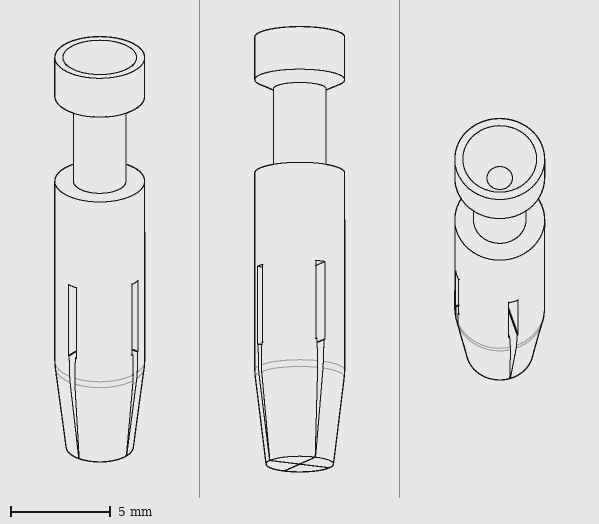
import cadquery as cq
import math

total_height = 22.0
body_radius = 4.5 / 2
tip_radius = 1.7
neck_radius = 1.32

head_height = 2.2
head_chamfer_height = 0.46
shoulder_z = 15.0
taper_start_z = 4.66
taper_blend_radius = 2.85

cup_radius = 1.85
cup_depth = 2.2
cup_floor_radius = 0.64
drill_point_angle = 118.0

slot_top_z = 9.99
slot_step_z = 5.98
upper_slot_width = 0.5
lower_slot_width = 0.4
slot_tip_width = 0.02


def revolve_about_z(profile):
    """Turn a closed (radius, height) profile into a solid of revolution."""
    return cq.Workplane("XZ").polyline(profile).close().revolve(360, (0, 0), (0, 1))


def make_turned_body():
    """Head, neck and tapered body, with a large blend where the taper begins."""
    head_z = total_height - head_height
    body = revolve_about_z([
        (0, 0),
        (tip_radius, 0),
        (body_radius, taper_start_z),
        (body_radius, shoulder_z),
        (neck_radius, shoulder_z),
        (neck_radius, head_z - head_chamfer_height),
        (body_radius, head_z),
        (body_radius, total_height),
        (0, total_height),
    ])
    taper_edge = cq.selectors.NearestToPointSelector((0, 0, taper_start_z))
    return body.edges("%CIRCLE").edges(taper_edge).fillet(taper_blend_radius)


def make_cup():
    """Conical cup with a shallower drill point at its floor."""
    floor_z = total_height - cup_depth
    point_depth = cup_floor_radius / math.tan(math.radians(drill_point_angle / 2))
    return revolve_about_z([
        (0, floor_z - point_depth),
        (cup_floor_radius, floor_z),
        (cup_radius, total_height),
        (0, total_height),
    ])


def make_slot(plane):
    """Slot through the whole body along the normal of the given plane."""
    right_side = [
        (slot_tip_width / 2, 0),
        (lower_slot_width / 2, slot_step_z),
        (upper_slot_width / 2, slot_step_z),
        (upper_slot_width / 2, slot_top_z),
    ]
    left_side = [(-x, z) for x, z in reversed(right_side)]
    outline = cq.Workplane(plane).polyline(right_side + left_side).close()
    return outline.extrude(body_radius, both=True)


result = make_turned_body().cut(make_cup())
for slot_plane in ("XZ", "YZ"):
    result = result.cut(make_slot(slot_plane))